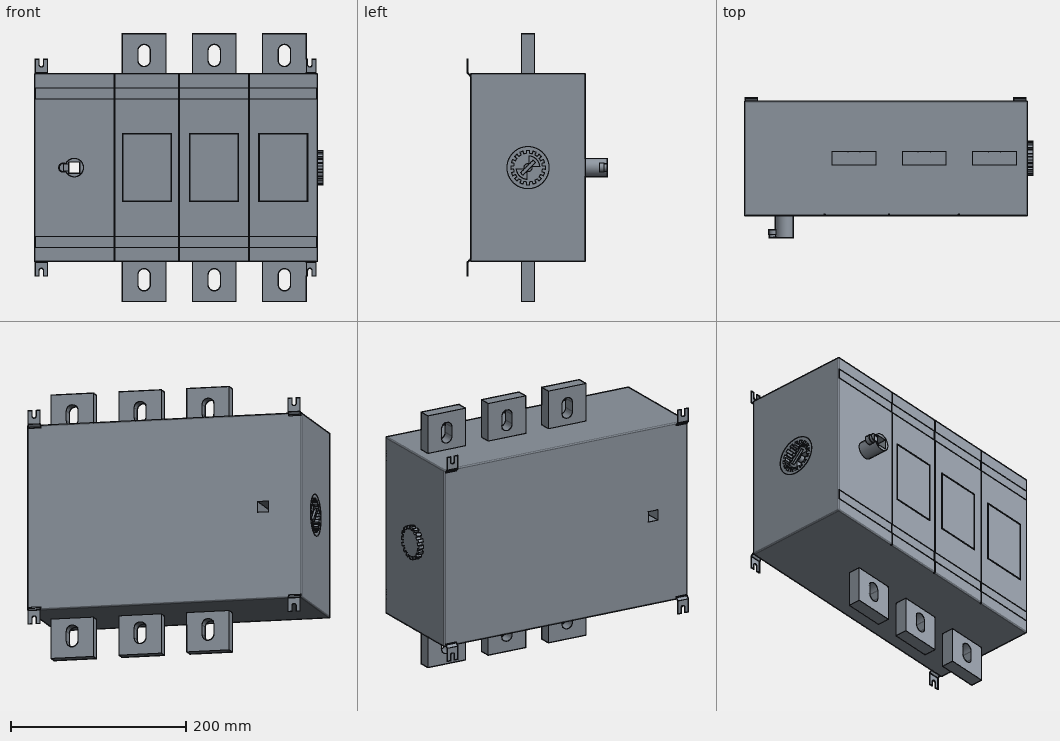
import cadquery as cq
import math


overall_width = 329.5
body_width = 323.2
body_depth = 131.0
body_height = 214.8
edge_radius = 1.3
mid_depth = body_depth / 2

seam_positions = [91.5, 165.0, 244.8]
seam_width = 1.0
seam_depth = 2.0
window_width = 56.0
window_height = 77.8
window_groove_width = 0.5
window_groove_depth = 0.3

band_height = 12.5
band_edge_distance = 16.5
band_end_margin = 1.0
band_depth = 0.3

total_height = 306.0
bar_width = 50.0
bar_thickness = 15.0
bar_pitch = 80.0
first_bar_x = 125.2
bar_count = 3
bar_slot_width = 14.0
bar_slot_length = 25.0
bar_slot_end_distance = 25.0

tab_width = 14.2
tab_thickness = 1.0
tab_offset = 4.0
tab_tip_z = 124.0
tab_bend_rise = 0.5
tab_bend_z = body_height / 2 + tab_bend_rise
tab_slot_width = 5.0
tab_slot_bottom_z = 115.0
tab_centres = [8.0, 314.5]

shaft_x = 45.5
shaft_diameter = 21.0
shaft_length = 25.0
square_size = 12.5
lug_x = 33.0
lug_radius = 5.3
lug_length = 9.2
lug_step_length = 3.5
lug_step_width = 0.5
lug_neck_width = 8.0
lug_groove_depth = 0.5

plug_length = overall_width - body_width
socket_depth = 10.0
gear_teeth = 16
tooth_share = 0.5
gear_tip_radius = 19.8
gear_root_radius = 16.5
dial_radius = 24.0
dial_depth = 0.3
island_radius = 13.5
island_gap = 2.5
hub_radius = 4.5
web_width = 4.0
web_reach = 10.2
island_recess = 3.3


def box(x_range, y_range, z_range):
    """Axis-aligned block given by its limits along each axis."""
    size = [high - low for low, high in (x_range, y_range, z_range)]
    corner = (x_range[0], y_range[0], z_range[0])
    return cq.Workplane("XY").box(*size, centered=False).translate(corner)


def front_cylinder(x, radius, y_start, y_end):
    """Cylinder along Y at mid height."""
    plane = cq.Workplane("XZ", origin=(x, y_end, 0))
    return plane.circle(radius).extrude(y_end - y_start)


def side_plane(x):
    """Plane facing +X, centred on the coupling axis."""
    return cq.Workplane("YZ", origin=(x, mid_depth, 0))


def polar(radius, angle):
    return (radius * math.cos(angle), radius * math.sin(angle))


def make_housing():
    housing = box((0, body_width), (0, body_depth), (-body_height / 2, body_height / 2))
    return housing.edges().fillet(edge_radius)


def cut_seams(part):
    for x in seam_positions:
        x_range = (x - seam_width / 2, x + seam_width / 2)
        part = part.cut(box(x_range, (0, seam_depth), (-body_height / 2, body_height / 2)))
    return part


def cut_windows(part):
    panel_limits = seam_positions + [body_width]
    for left, right in zip(panel_limits, panel_limits[1:]):
        plane = cq.Workplane("XZ", origin=((left + right) / 2, window_groove_depth, 0))
        frame = (
            plane.rect(window_width, window_height)
            .rect(window_width - 2 * window_groove_width, window_height - 2 * window_groove_width)
            .extrude(window_groove_depth)
        )
        part = part.cut(frame)
    return part


def cut_bands(part):
    upper = body_height / 2 - band_edge_distance
    x_range = (band_end_margin, body_width - band_end_margin)
    band = box(x_range, (0, band_depth), (upper - band_height, upper))
    return part.cut(band).cut(band.mirror("XY"))


def make_terminal_bar(x):
    slot_z = total_height / 2 - bar_slot_end_distance
    plane = cq.Workplane("XZ", origin=(x, mid_depth, 0))
    bar = plane.rect(bar_width, total_height).extrude(bar_thickness / 2, both=True)
    slots = (
        plane.pushPoints([(0, slot_z), (0, -slot_z)])
        .slot2D(bar_slot_length, bar_slot_width, 90)
        .extrude(bar_thickness, both=True)
    )
    return bar.cut(slots)


def make_upper_tab(x):
    """Sheet tab that slopes out of the top back edge and stands up behind the housing."""
    outer_y = body_depth + tab_offset
    inner_y = outer_y - tab_thickness
    root_y = body_depth - edge_radius
    slope_shift = tab_thickness * math.tan(math.pi / 8) / 2
    profile = [
        (outer_y, tab_tip_z),
        (outer_y, tab_bend_z - slope_shift),
        (root_y, tab_bend_z - slope_shift - (outer_y - root_y)),
        (root_y, tab_bend_z + slope_shift - (inner_y - root_y)),
        (inner_y, tab_bend_z + slope_shift),
        (inner_y, tab_tip_z),
    ]
    tab = cq.Workplane("YZ", origin=(x, 0, 0)).polyline(profile).close()
    tab = tab.extrude(tab_width / 2, both=True)
    slot_radius = tab_slot_width / 2
    slot_centre_z = tab_slot_bottom_z + slot_radius
    slot = box((x - slot_radius, x + slot_radius), (body_depth, outer_y), (slot_centre_z, tab_tip_z))
    slot_end = front_cylinder(x, slot_radius, body_depth, outer_y).translate((0, 0, slot_centre_z))
    return tab.cut(slot).cut(slot_end)


def add_shaft(part):
    shaft = front_cylinder(shaft_x, shaft_diameter / 2, -shaft_length, seam_depth)
    lug_back = lug_length - shaft_length
    step_y = lug_step_length - shaft_length
    lug = front_cylinder(lug_x, lug_radius, step_y, lug_back)
    lug_nose = front_cylinder(lug_x, lug_radius - lug_step_width, -shaft_length, step_y)
    half_neck = lug_neck_width / 2
    neck_front = -shaft_length + lug_groove_depth
    neck = box((lug_x, shaft_x), (neck_front, lug_back), (-half_neck, half_neck))
    groove = box((lug_x, shaft_x), (-shaft_length, neck_front), (-half_neck, half_neck))
    return part.union(shaft).union(lug).union(lug_nose).union(neck).cut(groove)


def cut_square_hole(part):
    half = square_size / 2
    hole = box((shaft_x - half, shaft_x + half), (-shaft_length, body_depth), (-half, half))
    return part.cut(hole)


def make_gear(x, length):
    """Straight-toothed gear along X, starting at x."""
    step = 2 * math.pi / gear_teeth
    outline = []
    for tooth in range(gear_teeth):
        start = (tooth - tooth_share / 2) * step
        end = (tooth + tooth_share / 2) * step
        outline.append(polar(gear_root_radius, start))
        outline.append(polar(gear_tip_radius, start))
        outline.append(polar(gear_tip_radius, end))
        outline.append(polar(gear_root_radius, end))
    return side_plane(x).polyline(outline).close().extrude(length)


def make_socket_island():
    """Central hub and two opposite quarter sectors, with a raised diagonal web across them."""
    edge = island_gap / 2
    reach = math.sqrt(island_radius**2 - edge**2)
    middle = island_radius / math.sqrt(2)
    base_plane = side_plane(island_recess)
    base_length = socket_depth - island_recess
    island = base_plane.circle(hub_radius).extrude(base_length)
    for side in (1, -1):
        sector = (
            base_plane.moveTo(side * edge, -side * edge)
            .lineTo(side * reach, -side * edge)
            .threePointArc((side * middle, -side * middle), (side * edge, -side * reach))
            .close()
            .extrude(base_length)
        )
        island = island.union(sector)
    web_plane = side_plane(0).transformed(rotate=(0, 0, -45))
    web = web_plane.rect(2 * web_reach, web_width).extrude(socket_depth)
    return island.union(web)


def cut_socket(part):
    dial = side_plane(0).circle(dial_radius).extrude(dial_depth)
    socket = make_gear(0, socket_depth).cut(make_socket_island())
    return part.cut(dial).cut(socket)


result = make_housing()
result = cut_seams(result)
result = cut_windows(result)
result = cut_bands(result)
for index in range(bar_count):
    result = result.union(make_terminal_bar(first_bar_x + index * bar_pitch))
for tab_x in tab_centres:
    upper_tab = make_upper_tab(tab_x)
    result = result.union(upper_tab).union(upper_tab.mirror("XY"))
result = add_shaft(result)
result = cut_square_hole(result)
result = cut_socket(result)
result = result.union(make_gear(body_width - edge_radius, plug_length + edge_radius))